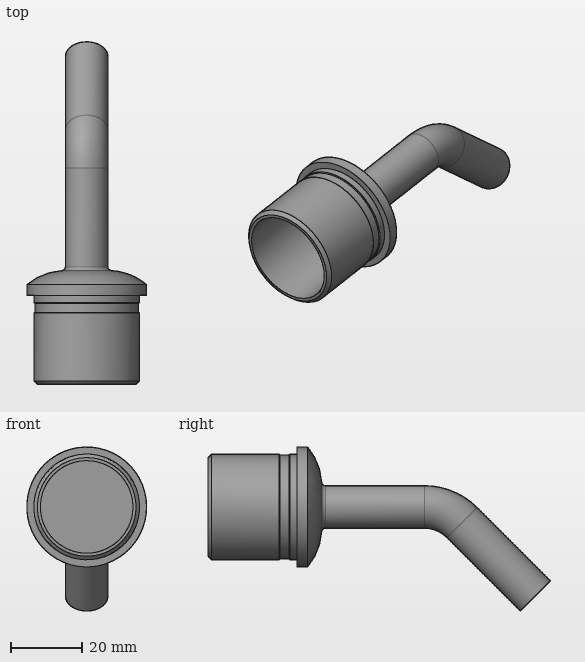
import cadquery as cq
import math

spigot_radius = 29.7 / 2
spigot_length = 25.0
spigot_chamfer = 1.0
bore_radius = 13.0
bore_depth = spigot_length

groove_depth = 0.25
groove_start = 2.0
groove_width = 3.0

flange_radius = 33.7 / 2
flange_thickness = 3.0
crown_height = 4.0

stem_radius = 6.0
stem_fillet = 1.0
bend_start = 35.76
bend_radius = 15.0
bend_angle = 45.0
tip_length = 29.17

crown_top = flange_thickness + crown_height
crown_reach = flange_radius - stem_radius
crown_arc_radius = (crown_reach**2 + crown_height**2) / (2 * crown_height)


def crown_surface(radius):
    """Position along Y of the crown surface at a distance from the axis."""
    offset = radius - stem_radius
    return crown_top - crown_arc_radius + math.sqrt(crown_arc_radius**2 - offset**2)


def make_head():
    """Spigot, flange and crown as one revolved body about the Y axis."""
    groove_floor = spigot_radius - groove_depth
    groove_near = -groove_start
    groove_far = groove_near - groove_width
    crown_middle = (flange_radius + stem_radius) / 2
    return (
        cq.Workplane("XY")
        .moveTo(0, -spigot_length)
        .lineTo(spigot_radius - spigot_chamfer, -spigot_length)
        .lineTo(spigot_radius, -spigot_length + spigot_chamfer)
        .lineTo(spigot_radius, groove_far)
        .lineTo(groove_floor, groove_far + groove_depth)
        .lineTo(groove_floor, groove_near - groove_depth)
        .lineTo(spigot_radius, groove_near)
        .lineTo(spigot_radius, 0)
        .lineTo(flange_radius, 0)
        .lineTo(flange_radius, flange_thickness)
        .threePointArc((crown_middle, crown_surface(crown_middle)), (stem_radius, crown_top))
        .lineTo(0, crown_top)
        .close()
        .revolve(360, (0, 0, 0), (0, 1, 0))
    )


def make_stem():
    """Round bar that leaves the crown along +Y and bends down towards -Z."""
    angle = math.radians(bend_angle)

    def bend_point(turn):
        """(Y, Z) of the stem centreline after it has turned through an angle."""
        return (bend_start + bend_radius * math.sin(turn), -bend_radius * (1 - math.cos(turn)))

    bend_end = bend_point(angle)
    tip = (bend_end[0] + tip_length * math.cos(angle), bend_end[1] - tip_length * math.sin(angle))
    path = (
        cq.Workplane("YZ")
        .moveTo(flange_thickness, 0)
        .lineTo(bend_start, 0)
        .threePointArc(bend_point(angle / 2), bend_end)
        .lineTo(*tip)
    )
    section = cq.Workplane("XZ", origin=(0, flange_thickness, 0)).circle(stem_radius)
    return section.sweep(path)


def stem_root_edge(body):
    """Circle where the stem meets the crown."""
    reach = stem_radius + stem_fillet
    return body.edges(
        cq.selectors.BoxSelector(
            (-reach, crown_top - stem_fillet, -reach),
            (reach, crown_top + stem_fillet, reach),
            boundingbox=True,
        )
    )


def make_bore():
    """Blind hole in the open end of the spigot."""
    open_end = cq.Workplane("XZ", origin=(0, -spigot_length, 0))
    return open_end.circle(bore_radius).extrude(-bore_depth)


body = make_head().union(make_stem())
body = stem_root_edge(body).fillet(stem_fillet)
result = body.cut(make_bore())